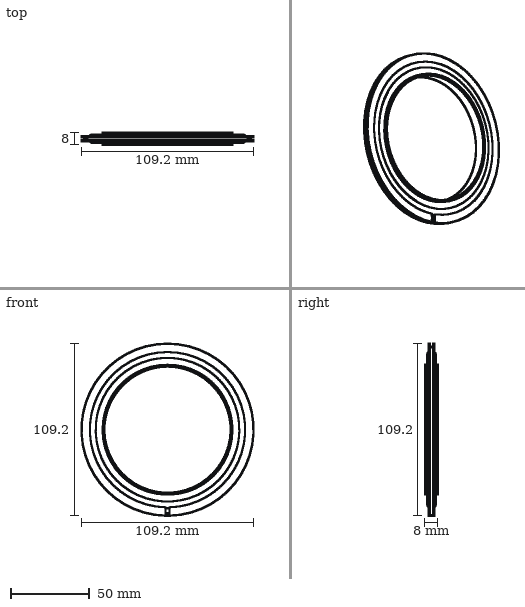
import cadquery as cq
import math

outer_radius = 54.6
overall_width = 8.0

seal_center_radius = 47.2
seal_section_radius = 2.7

bore_radius = 40.0
mouth_radius = 40.3
collar_radius = 41.2
body_width = 4.4
mouth_depth = 0.4

flange_width = 3.6
groove_width = 1.7
groove_floor_radius = 50.9
notch_width = 2.4

wire_radius = 0.82
wire_bend_radius = 52.0
dip_start_angle = math.radians(21)
dip_bottom_radius = 53.7


def revolve_ring(profile):
    """Turn a profile, drawn as (Y, radius) along +Z, about the Y axis."""
    return profile.revolve(360, (0, 0, 0), (1, 0, 0))


def seal_offset(half_width):
    """Radial distance from the seal's section centre to its surface at a given Y."""
    return math.sqrt(seal_section_radius**2 - half_width**2)


def make_seal():
    section = cq.Workplane("YZ").center(0, seal_center_radius).circle(seal_section_radius)
    return section.revolve(360, (0, -seal_center_radius, 0), (1, -seal_center_radius, 0))


def make_inner_ring():
    """Centring ring with a thin collar each side and a seat for the seal."""
    half_body = body_width / 2
    half_overall = overall_width / 2
    seat_radius = seal_center_radius - seal_offset(half_body)
    profile = (
        cq.Workplane("YZ")
        .moveTo(-half_overall + mouth_depth, bore_radius)
        .lineTo(half_overall - mouth_depth, bore_radius)
        .lineTo(half_overall, mouth_radius)
        .lineTo(half_overall, collar_radius)
        .lineTo(half_body, collar_radius)
        .lineTo(half_body, seat_radius)
        .threePointArc((0, seal_center_radius - seal_section_radius), (-half_body, seat_radius))
        .lineTo(-half_body, collar_radius)
        .lineTo(-half_overall, collar_radius)
        .lineTo(-half_overall, mouth_radius)
        .close()
    )
    return revolve_ring(profile)


def make_outer_ring():
    """Channel ring that holds the seal inside and the wire outside, notched at the bottom."""
    half_flange = flange_width / 2
    half_groove = groove_width / 2
    seat_radius = seal_center_radius + seal_offset(half_flange)
    profile = (
        cq.Workplane("YZ")
        .moveTo(half_flange, seat_radius)
        .lineTo(half_flange, outer_radius)
        .lineTo(half_groove, outer_radius)
        .lineTo(half_groove, groove_floor_radius)
        .lineTo(-half_groove, groove_floor_radius)
        .lineTo(-half_groove, outer_radius)
        .lineTo(-half_flange, outer_radius)
        .lineTo(-half_flange, seat_radius)
        .threePointArc((0, seal_center_radius + seal_section_radius), (half_flange, seat_radius))
        .close()
    )
    notch = (
        cq.Workplane("XY")
        .box(notch_width, flange_width, outer_radius, centered=(True, True, False))
        .translate((0, 0, -outer_radius))
    )
    return revolve_ring(profile).cut(notch)


def make_wire():
    """Closed wire: a round bend, two straight legs and a tighter bend dipping across the notch."""
    sine = math.sin(dip_start_angle)
    cosine = math.cos(dip_start_angle)
    leg_x = wire_bend_radius * sine
    leg_z = -wire_bend_radius * cosine
    leg_apex_radius = wire_bend_radius / cosine
    dip_bend_radius = (leg_apex_radius - dip_bottom_radius) / (1 / cosine - 1)
    dip_x = dip_bend_radius * sine
    dip_z = -dip_bottom_radius + dip_bend_radius * (1 - cosine)
    path = (
        cq.Workplane("XZ")
        .moveTo(leg_x, leg_z)
        .threePointArc((0, wire_bend_radius), (-leg_x, leg_z))
        .lineTo(-dip_x, dip_z)
        .threePointArc((0, -dip_bottom_radius), (dip_x, dip_z))
        .close()
    )
    start_plane = cq.Plane(origin=(leg_x, 0, leg_z), xDir=(sine, 0, -cosine), normal=(cosine, 0, sine))
    return cq.Workplane(start_plane).circle(wire_radius).sweep(path)


seal = make_seal()
inner_ring = make_inner_ring()
outer_ring = make_outer_ring()
wire = make_wire()

result = cq.Compound.makeCompound([inner_ring.val(), seal.val(), outer_ring.val(), wire.val()])